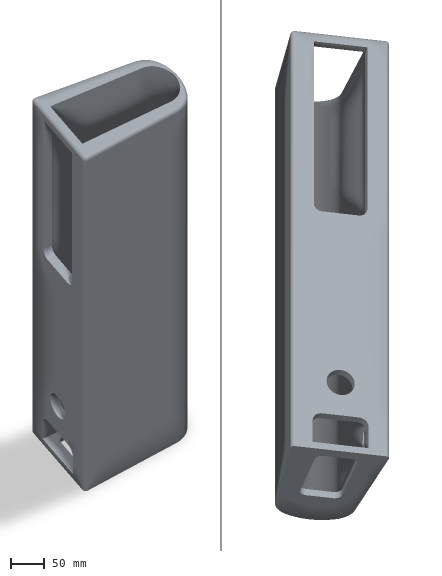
import cadquery as cq
import math

height = 705.0
depth = 210.0
front_width = 150.0
side_slope = 0.087
back_radius = 88.0
back_corner_radius = 40.0
edge_radius = 5.5

floor_thickness = 10.5
front_wall = 15.0
cavity_slope = 0.03
mouth_half_width = 45.0
mouth_back = 204.5
mouth_back_radius = 45.0
mouth_corner_radius = 30.0
floor_half_width = 40.0
floor_back = 202.0
floor_back_radius = 40.0
floor_corner_radius = 24.0

slot_width = 81.0
slot_bottom = 402.5
slot_top = 689.0
slot_corner_radius = 13.0
window_width = 84.5
window_top = 60.5
window_corner_radius = 14.0
hole_diameter = 42.0
hole_height = 116.0
cutter_depth = 28.0

drain_width = 63.5
drain_front = 19.0
drain_back = 140.0
drain_corner_radius = 11.0


def back_corner(front, back, half_width, slope, radius):
    """Point where the +X side line meets the circle of the back curve."""
    center_y = back - radius
    side_x = half_width - slope * (center_y - front)
    run = 1 + slope**2
    root = math.sqrt(radius**2 * run - side_x**2)
    rise = (side_x * slope + root) / run
    return side_x - slope * rise, center_y + rise


def tapered_profile(z, front, back, half_width, slope, radius, corner_radius):
    """Closed wire with tapered sides, a curved back and rounded back corners."""
    corner_x, corner_y = back_corner(front, back, half_width, slope, radius)
    outline = (
        cq.Workplane()
        .moveTo(-half_width, front)
        .lineTo(half_width, front)
        .lineTo(corner_x, corner_y)
        .threePointArc((0, back), (-corner_x, corner_y))
        .close()
        .val()
    )
    middle = (front + back) / 2
    corners = [vertex for vertex in outline.Vertices() if vertex.Y > middle]
    return outline.fillet2D(corner_radius, corners).translate(cq.Vector(0, 0, z))


def make_body():
    outline = tapered_profile(
        0, 0, depth, front_width / 2, side_slope, back_radius, back_corner_radius
    )
    body = cq.Workplane(cq.Solid.extrudeLinear(outline, [], cq.Vector(0, 0, height)))
    body = body.faces("<Y").edges("|Z").fillet(edge_radius)
    return body.faces(">Z").edges().fillet(edge_radius)


def make_cavity():
    floor = tapered_profile(
        floor_thickness, front_wall, floor_back, floor_half_width,
        cavity_slope, floor_back_radius, floor_corner_radius,
    )
    mouth = tapered_profile(
        height, front_wall, mouth_back, mouth_half_width,
        cavity_slope, mouth_back_radius, mouth_corner_radius,
    )
    return cq.Workplane(cq.Solid.makeLoft([floor, mouth], True))


def front_opening(width, bottom, top):
    """Rectangular cutter through the front wall."""
    opening = cq.Workplane().box(width, cutter_depth, top - bottom, centered=(True, False, False))
    return opening.translate((0, 0, bottom))


def make_slot():
    slot = front_opening(slot_width, slot_bottom, slot_top)
    return slot.faces("<Z").edges("|Y").fillet(slot_corner_radius)


def make_window():
    window = front_opening(window_width, floor_thickness, window_top)
    return window.faces(">Z").edges("|Y").fillet(window_corner_radius)


def make_hole():
    hole = cq.Solid.makeCylinder(
        hole_diameter / 2, cutter_depth, cq.Vector(0, 0, hole_height), cq.Vector(0, 1, 0)
    )
    return cq.Workplane(hole)


def make_drain():
    length = drain_back - drain_front
    drain = cq.Workplane().box(drain_width, length, floor_thickness, centered=(True, False, False))
    return drain.edges("|Z").fillet(drain_corner_radius).translate((0, drain_front, 0))


result = make_body()
for cutter in (make_cavity(), make_slot(), make_window(), make_hole(), make_drain()):
    result = result.cut(cutter)